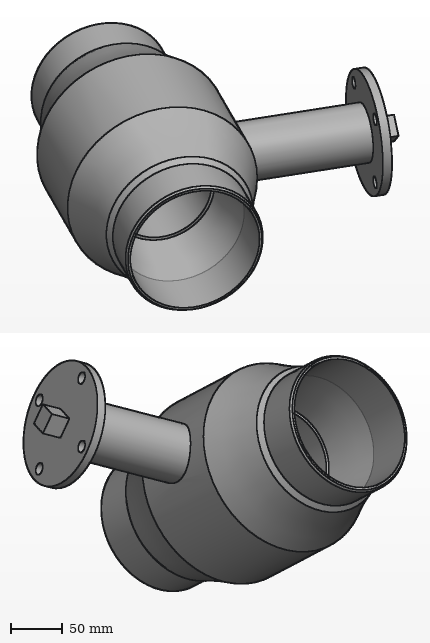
import cadquery as cq

body_length = 325.0
body_diameter = 193.5
barrel_length = 104.0
pipe_diameter = 140.2
mouth_diameter = 132.0
pipe_length = 45.7
pipe_chamfer_length = 2.5
pipe_chamfer_depth = 1.7
shoulder_length = 5.5
shoulder_diameter = 150.0
taper_sag = 1.5

mouth_depth = 53.0
seat_diameter = 106.5
bore_diameter = 100.0

total_width = 349.0
stem_diameter = 60.0
flange_diameter = 126.3
flange_thickness = 9.5
bolt_circle_diameter = 102.0
bolt_hole_diameter = 12.0
bolt_count = 4
bolt_start_angle = 45.0
drive_diagonal = 30.7
drive_length = 21.0

half_length = body_length / 2
half_barrel = barrel_length / 2
pipe_end = half_length - pipe_length
taper_end = pipe_end - shoulder_length
seat_position = half_barrel
drive_tip = total_width - body_diameter / 2
flange_top = drive_tip - drive_length
flange_bottom = flange_top - flange_thickness


def revolve_about_x(profile):
    return profile.close().revolve(360, (0, 0, 0), (1, 0, 0))


def body_shell():
    body_radius = body_diameter / 2
    pipe_radius = pipe_diameter / 2
    rim_radius = pipe_radius - pipe_chamfer_depth
    shoulder_radius = shoulder_diameter / 2
    chamfer_start = half_length - pipe_chamfer_length
    taper_middle = (half_barrel + taper_end) / 2
    taper_middle_radius = (body_radius + shoulder_radius) / 2 - taper_sag
    profile = (
        cq.Workplane("XY")
        .moveTo(-half_length, 0)
        .lineTo(-half_length, rim_radius)
        .lineTo(-chamfer_start, pipe_radius)
        .lineTo(-pipe_end, pipe_radius)
        .lineTo(-taper_end, shoulder_radius)
        .threePointArc((-taper_middle, taper_middle_radius), (-half_barrel, body_radius))
        .lineTo(half_barrel, body_radius)
        .threePointArc((taper_middle, taper_middle_radius), (taper_end, shoulder_radius))
        .lineTo(pipe_end, pipe_radius)
        .lineTo(chamfer_start, pipe_radius)
        .lineTo(half_length, rim_radius)
        .lineTo(half_length, 0)
    )
    return revolve_about_x(profile)


def flow_passage():
    """Straight bore with a wide mouth and a tapered inlet at each end."""
    mouth_radius = mouth_diameter / 2
    seat_radius = seat_diameter / 2
    bore_radius = bore_diameter / 2
    mouth_end = half_length - mouth_depth
    profile = (
        cq.Workplane("XY")
        .moveTo(-half_length, 0)
        .lineTo(-half_length, mouth_radius)
        .lineTo(-mouth_end, mouth_radius)
        .lineTo(-seat_position, seat_radius)
        .lineTo(-seat_position, bore_radius)
        .lineTo(seat_position, bore_radius)
        .lineTo(seat_position, seat_radius)
        .lineTo(mouth_end, mouth_radius)
        .lineTo(half_length, mouth_radius)
        .lineTo(half_length, 0)
    )
    return revolve_about_x(profile)


def plane_facing_y(position):
    """Workplane at the given Y whose normal points along +Y."""
    return cq.Workplane("XZ", origin=(0, position, 0)).transformed(rotate=(180, 0, 0))


def stem():
    return plane_facing_y(0).circle(stem_diameter / 2).extrude(flange_bottom)


def mounting_flange():
    plate = plane_facing_y(flange_bottom).circle(flange_diameter / 2).extrude(flange_thickness)
    bolt_holes = (
        plane_facing_y(flange_bottom)
        .polarArray(bolt_circle_diameter / 2, bolt_start_angle, 360, bolt_count)
        .circle(bolt_hole_diameter / 2)
        .extrude(flange_thickness)
    )
    return plate.cut(bolt_holes)


def square_drive():
    """Square shank with its corners pointing along X and Z."""
    return plane_facing_y(flange_top).polygon(4, drive_diagonal).extrude(drive_length)


result = (
    body_shell()
    .union(stem())
    .union(mounting_flange())
    .union(square_drive())
    .cut(flow_passage())
)